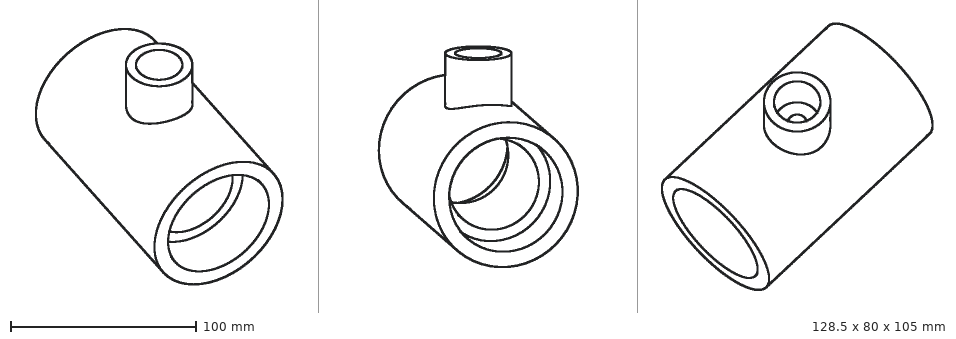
import cadquery as cq

body_length = 128.5
body_diameter = 80.0
bore_diameter = 50.4
socket_diameter = 63.0
socket_depth = 28.5

overall_height = 105.0
branch_diameter = 36.0
branch_socket_diameter = 25.0
branch_hole_diameter = 10.3

branch_top = overall_height - body_diameter / 2
branch_socket_floor = body_diameter / 2
branch_socket_depth = branch_top - branch_socket_floor


def cylinder_along_x(diameter, start, length):
    return cq.Workplane("YZ", origin=(start, 0, 0)).circle(diameter / 2).extrude(length)


def cylinder_along_z(diameter, start, length):
    return cq.Workplane("XY", origin=(0, 0, start)).circle(diameter / 2).extrude(length)


end = body_length / 2
body = cylinder_along_x(body_diameter, -end, body_length)
body = body.union(cylinder_along_z(branch_diameter, 0, branch_top))

body = body.cut(cylinder_along_x(bore_diameter, -end, body_length))
for socket_start in (-end, end - socket_depth):
    body = body.cut(cylinder_along_x(socket_diameter, socket_start, socket_depth))

body = body.cut(cylinder_along_z(branch_hole_diameter, 0, branch_top))
body = body.cut(cylinder_along_z(branch_socket_diameter, branch_socket_floor, branch_socket_depth))

result = body